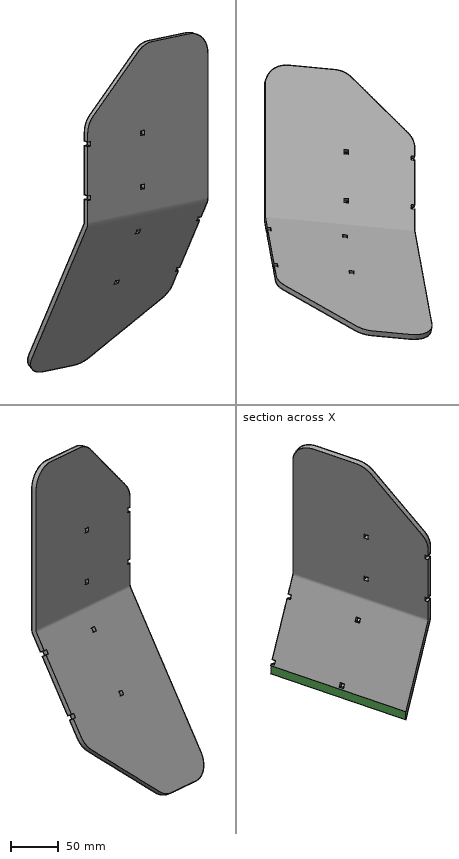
import cadquery as cq
import math

width = 160.0
thickness = 6.0
height = 374.2
depth = 113.5
bend_angle = 30.0
inner_radius = 6.0
outer_radius = inner_radius + thickness
upper_length = 183.5

corner_radius = 25.0
upper_chamfer = 75.2
lower_chamfer = 84.2

hole_size = 5.0
notch_depth = 3.7
upper_hole_y = 73.5
upper_hole_rows = (27.0, 85.7)
lower_hole_y = 77.0
lower_hole_rows = (23.0, 95.8)

sin_bend = math.sin(math.radians(bend_angle))
cos_bend = math.cos(math.radians(bend_angle))

bend_x = depth - outer_radius
bend_z = height - upper_length
lower_length = (bend_z - outer_radius * sin_bend) / cos_bend


def flange(length, chamfer, chamfer_at_max_y):
    """Flat flange standing on the bend, outer face on X = outer_radius."""
    plate = cq.Workplane("XY").box(thickness, width, length, centered=False)
    profile = [(0, length), (chamfer, length), (0, length - chamfer)]
    if chamfer_at_max_y:
        profile = [(width - y, z) for y, z in profile]
    corner = cq.Workplane("YZ").polyline(profile).close().extrude(thickness)
    plate = plate.cut(corner)
    outer_edges = plate.edges("|X").filter(lambda edge: edge.Center().z > thickness)
    plate = plate.newObject(outer_edges.vals()).fillet(corner_radius)
    return plate.translate((inner_radius, 0, 0))


def punch(plate, hole_y, rows, notch_at_max_y):
    """Cut a square hole and an edge notch at each row."""
    notch_y = width - notch_depth / 2 if notch_at_max_y else notch_depth / 2
    for row in rows:
        for y, size_y in ((hole_y, hole_size), (notch_y, notch_depth)):
            cutter = cq.Workplane("XY").box(thickness, size_y, hole_size)
            plate = plate.cut(cutter.translate((inner_radius + thickness / 2, y, row)))
    return plate


upper = flange(upper_length, upper_chamfer, False)
upper = punch(upper, upper_hole_y, upper_hole_rows, False)

lower = flange(lower_length, lower_chamfer, True)
lower = punch(lower, lower_hole_y, lower_hole_rows, True)
lower = lower.mirror("XY").rotate((0, 0, 0), (0, 1, 0), bend_angle)

half_sin = math.sin(math.radians(bend_angle / 2))
half_cos = math.cos(math.radians(bend_angle / 2))
bend = (
    cq.Workplane("XZ")
    .moveTo(inner_radius, 0)
    .lineTo(outer_radius, 0)
    .threePointArc(
        (outer_radius * half_cos, -outer_radius * half_sin),
        (outer_radius * cos_bend, -outer_radius * sin_bend),
    )
    .lineTo(inner_radius * cos_bend, -inner_radius * sin_bend)
    .threePointArc((inner_radius * half_cos, -inner_radius * half_sin), (inner_radius, 0))
    .close()
    .extrude(-width)
)

result = upper.union(bend).union(lower).translate((bend_x, 0, bend_z))